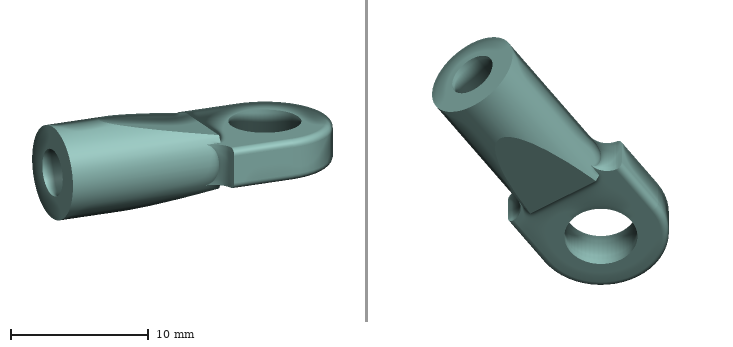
import cadquery as cq
import math

total_length = 21.95
eye_width = 9.87
eye_thickness = 3.1
eye_hole_diameter = 5.3
edge_radius = 0.5
shoulder_y = 12.25
neck_radius = 1.51

shaft_diameter = 7.0
shaft_length = 12.0
bore_diameter = 3.5
bore_depth = 10.0
taper_start_y = 3.7
taper_angle = 10.0

eye_radius = eye_width / 2
eye_center_y = total_length - eye_radius
shaft_radius = shaft_diameter / 2
neck_half_width = math.sqrt(shaft_radius**2 - (eye_thickness / 2) ** 2)


def make_eye():
    """Round-ended plate with rounded outer edges."""
    plate = (
        cq.Workplane("XY")
        .moveTo(-eye_radius, 0)
        .lineTo(eye_radius, 0)
        .lineTo(eye_radius, eye_center_y)
        .threePointArc((0, total_length), (-eye_radius, eye_center_y))
        .close()
        .extrude(eye_thickness / 2, both=True)
        .edges("(>Z or <Z) and (not <Y)")
        .fillet(edge_radius)
    )
    return plate.intersect(make_neck_outline())


def make_neck_outline():
    """Region that trims the plate to its shoulders and concave neck corners."""
    arc_center_x = neck_half_width + neck_radius
    arc_center_y = shoulder_y - neck_radius
    arc_offset = neck_radius * math.sqrt(0.5)
    arc_middle = (arc_center_x - arc_offset, arc_center_y + arc_offset)
    half = (
        cq.Workplane("XY")
        .moveTo(0, arc_center_y)
        .lineTo(neck_half_width, arc_center_y)
        .threePointArc(arc_middle, (arc_center_x, shoulder_y))
        .lineTo(eye_radius, shoulder_y)
        .lineTo(eye_radius, total_length)
        .lineTo(0, total_length)
        .close()
        .extrude(eye_thickness / 2, both=True)
    )
    return half.union(half.mirror("YZ"))


def make_shaft():
    """Cylinder with two flats sloping towards the eye."""
    taper_length = shaft_length - taper_start_y
    end_half_height = shaft_radius - taper_length * math.tan(math.radians(taper_angle))
    cylinder = cq.Workplane("XZ").circle(shaft_radius).extrude(-shaft_length)
    side_profile = (
        cq.Workplane("YZ")
        .polyline(
            [
                (0, -shaft_radius),
                (taper_start_y, -shaft_radius),
                (shaft_length, -end_half_height),
                (shaft_length, end_half_height),
                (taper_start_y, shaft_radius),
                (0, shaft_radius),
            ]
        )
        .close()
        .extrude(shaft_radius, both=True)
    )
    return cylinder.intersect(side_profile)


eye_hole = (
    cq.Workplane("XY")
    .center(0, eye_center_y)
    .circle(eye_hole_diameter / 2)
    .extrude(eye_thickness, both=True)
)
bore = cq.Workplane("XZ").circle(bore_diameter / 2).extrude(-bore_depth)

result = make_eye().union(make_shaft()).cut(eye_hole).cut(bore)